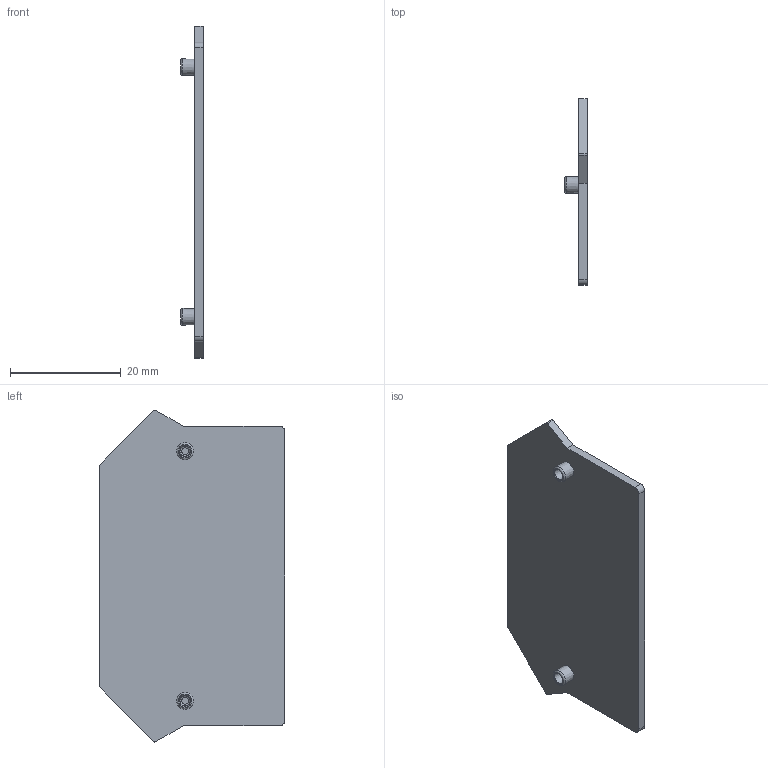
import cadquery as cq
import math

plate_thickness = 1.5
plate_width = 33.5
body_half_height = 27.0
ear_half_height = 30.0
ear_slope_angle = 45.0
ear_return_angle = 30.0
ear_tip_inset = 10.0
corner_radius = 1.0
ear_tip_radius = 0.3

post_root_diameter = 2.9
post_tip_diameter = 3.05
post_height = 2.5
post_spacing = 45.0
post_inset = 18.0
post_tip_radius = 0.3
socket_mouth_diameter = 2.1
socket_mouth_radius = 0.12
socket_floor_diameter = 1.8
socket_floor_radius = 0.3
socket_depth = 2.5

ear_tip_y = plate_width - ear_tip_inset
ear_rise = ear_half_height - body_half_height
ear_root_y = ear_tip_y - ear_rise / math.tan(math.radians(ear_return_angle))
ear_side_z = ear_half_height - ear_tip_inset * math.tan(math.radians(ear_slope_angle))


def make_plate():
    """Plate with an ear at each end and rounded corners."""
    upper_half = [
        (0, body_half_height),
        (ear_root_y, body_half_height),
        (ear_tip_y, ear_half_height),
        (plate_width, ear_side_z),
    ]
    lower_half = [(y, -z) for y, z in reversed(upper_half)]
    plate = cq.Workplane("YZ").polyline(upper_half + lower_half).close().extrude(plate_thickness)
    for side in (1, -1):
        corner = (plate_thickness / 2, 0, side * body_half_height)
        ear_tip = (plate_thickness / 2, ear_tip_y, side * ear_half_height)
        plate = plate.edges("|X").edges(cq.NearestToPointSelector(corner)).fillet(corner_radius)
        plate = plate.edges("|X").edges(cq.NearestToPointSelector(ear_tip)).fillet(ear_tip_radius)
    return plate


def revolve_about_x(profile):
    """Solid of revolution from a closed (x, radius) profile."""
    return cq.Workplane("XY").polyline(profile).close().revolve(360, (0, 0, 0), (1, 0, 0))


def make_post(z):
    """Tapered post facing -X, with a rounded tip and a tapered socket rounded at mouth and floor."""
    core_profile = [
        (plate_thickness / 2, 0),
        (plate_thickness / 2, post_root_diameter / 2),
        (0, post_root_diameter / 2),
        (-post_height, post_tip_diameter / 2),
        (-post_height, 0),
    ]
    socket_profile = [
        (-post_height, 0),
        (-post_height, socket_mouth_diameter / 2),
        (socket_depth - post_height, socket_floor_diameter / 2),
        (socket_depth - post_height, 0),
    ]
    core = revolve_about_x(core_profile).faces("<X").edges().fillet(post_tip_radius)
    socket = revolve_about_x(socket_profile).faces(">X").edges().fillet(socket_floor_radius)
    post = core.cut(socket)
    mouth_edge = cq.selectors.RadiusNthSelector(0)
    post = post.faces("<X").edges(mouth_edge).fillet(socket_mouth_radius)
    return post.translate((0, post_inset, z))


result = make_plate()
for side in (1, -1):
    result = result.union(make_post(side * post_spacing / 2))